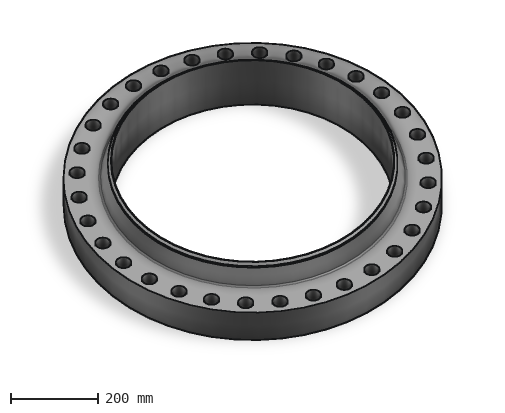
import cadquery as cq

flange_diameter = 866.0
flange_thickness = 90.0
bore_diameter = 646.0

total_height = 145.0
hub_base_radius = 350.0
hub_end_radius = 332.0
end_band_height = 5.0
bevel_height = 6.0
root_face_width = 2.0
hub_root_fillet = 5.0

bolt_count = 32
bolt_circle_diameter = 804.0
bolt_hole_diameter = 35.5

bore_radius = bore_diameter / 2
flange_radius = flange_diameter / 2
bevel_start = total_height - bevel_height
taper_end = bevel_start - end_band_height


def make_weld_neck_ring():
    """Revolve the flange and its tapered, bevelled hub around Z."""
    half_section = (
        cq.Workplane("XZ")
        .moveTo(bore_radius, 0)
        .lineTo(flange_radius, 0)
        .lineTo(flange_radius, flange_thickness)
        .lineTo(hub_base_radius, flange_thickness)
        .lineTo(hub_end_radius, taper_end)
        .lineTo(hub_end_radius, bevel_start)
        .lineTo(bore_radius + root_face_width, total_height)
        .lineTo(bore_radius, total_height)
        .close()
    )
    return half_section.revolve(360, (0, 0, 0), (0, 1, 0))


def round_hub_root(body):
    """Fillet the inner corner where the hub rises from the flange face."""
    flange_face = body.faces("%PLANE").faces(">Z[-2]")
    hub_root_edge = flange_face.edges(cq.selectors.RadiusNthSelector(0))
    return hub_root_edge.fillet(hub_root_fillet)


def make_bolt_holes():
    """Cylinders through the flange, the first one on the +X axis."""
    return (
        cq.Workplane("XY")
        .polarArray(bolt_circle_diameter / 2, 0, 360, bolt_count)
        .circle(bolt_hole_diameter / 2)
        .extrude(flange_thickness)
    )


result = round_hub_root(make_weld_neck_ring()).cut(make_bolt_holes())